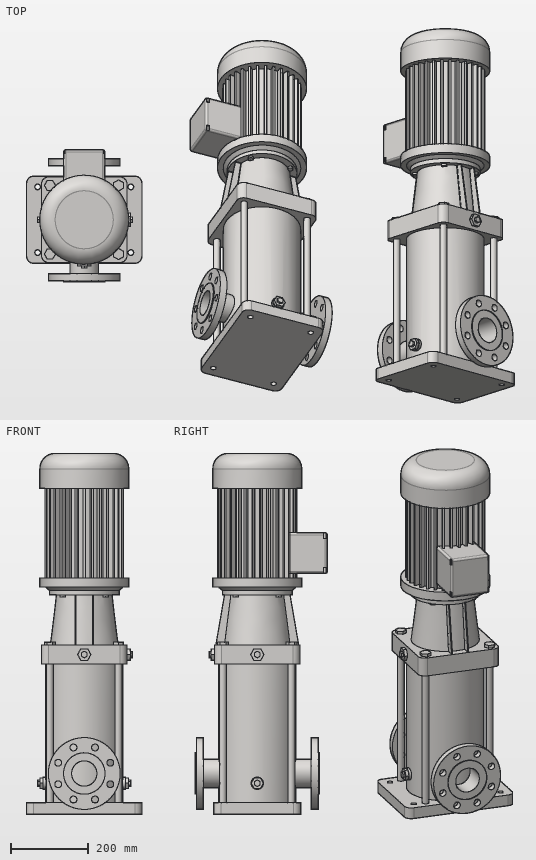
import cadquery as cq

total_height = 930.0

base_x = 298.0
base_y = 225.0
base_height = 30.0
plate_corner_radius = 19.0
foot_hole_x = 120.0
foot_hole_y = 85.0
foot_hole_diameter = 14.0
head_size = 220.0
head_bottom = 387.0
head_top = 436.0

barrel_diameter = 200.0
rod_diameter = 18.0
rod_offset = 88.0
rod_head_corners = 29.0
rod_head_height = 7.0

port_height = 105.0
port_reach = 160.0
port_bore = 65.0
port_pipe_diameter = 74.0
port_flange_diameter = 185.0
port_flange_thickness = 19.0
raised_face_diameter = 107.0
raised_face_height = 3.0
port_bolt_circle = 145.0
port_bolt_hole = 18.0
port_bolt_count = 8

half_hex_turn = 30
head_plug_corners = 34.0
drain_plug_corners = 32.0
plug_hex_height = 8.0
plug_tip_corners = 17.0
plug_tip_height = 6.0
drain_plug_height = 80.0
drain_pad_diameter = 32.0
drain_pad_reach = 106.0

stool_top = 565.0
stool_bottom_diameter = 176.0
stool_top_diameter = 144.0
stool_rib_thickness = 3.0
stool_rib_spacing = 45.0
stool_rib_bottom_reach = 107.0
stool_rib_top_reach = 85.0
stool_bolt_count = 4
stool_bolt_radius = 78.0
stool_bolt_diameter = 14.0
stool_bolt_height = 6.0

motor_diameter = 230.0
spigot_diameter = 180.0
spigot_top = 577.0
motor_flange_neck_diameter = 200.0
motor_flange_bottom = 585.0
motor_flange_top = 609.0
fin_count = 30
fin_outer_diameter = 204.0
fin_depth = 15.0
fin_thickness = 6.0
fan_cover_bottom = 840.0
fan_cover_round = 40.0

box_width = 106.0
box_bottom = 620.0
box_top = 725.0
box_back = 180.0
box_front = 74.0
box_edge_radius = 6.0
lid_notch_width = 7.0
lid_notch_height = 15.0
lid_notch_depth = 3.0
lid_thickness = 3.0


def cylinder(diameter, bottom, top):
    return cq.Workplane("XY").workplane(offset=bottom).circle(diameter / 2).extrude(top - bottom)


def rounded_plate(size_x, size_y, bottom, top):
    plate = cq.Workplane("XY").workplane(offset=bottom).rect(size_x, size_y).extrude(top - bottom)
    return plate.edges("|Z").fillet(plate_corner_radius)


def make_base():
    holes = (
        cq.Workplane("XY")
        .rect(2 * foot_hole_x, 2 * foot_hole_y, forConstruction=True)
        .vertices()
        .circle(foot_hole_diameter / 2)
        .extrude(base_height)
    )
    return rounded_plate(base_x, base_y, 0, base_height).cut(holes)


def make_tie_rods():
    """Four tie rods with hexagon heads; the +X heads are turned to put corners along Y."""
    rods = cq.Workplane("XY")
    for side_x, head_turn in ((-1, 0), (1, half_hex_turn)):
        for side_y in (-1, 1):
            place = (side_x * rod_offset, side_y * rod_offset, 0)
            rod = cylinder(rod_diameter, base_height, head_bottom)
            rod_head = (
                cq.Workplane("XY")
                .workplane(offset=head_top)
                .polygon(6, rod_head_corners)
                .extrude(rod_head_height)
                .rotate((0, 0, 0), (0, 0, 1), head_turn)
            )
            rods = rods.add(rod.translate(place)).add(rod_head.translate(place))
    return rods.combine()


def make_port():
    """Flanged port pointing along -Y, bored down to the barrel wall."""
    def disc(diameter, start, end):
        plane = cq.Workplane("XZ", origin=(0, -start, port_height))
        return plane.circle(diameter / 2).extrude(end - start)

    flange_face = port_reach - raised_face_height
    flange_back = flange_face - port_flange_thickness
    port = (
        disc(port_pipe_diameter, 0, flange_back)
        .union(disc(port_flange_diameter, flange_back, flange_face))
        .union(disc(raised_face_diameter, flange_face, port_reach))
        .cut(disc(port_bore, 0, port_reach))
    )
    half_pitch = 180 / port_bolt_count
    bolt_holes = (
        cq.Workplane("XZ", origin=(0, -flange_back, port_height))
        .polarArray(port_bolt_circle / 2, half_pitch, 360, port_bolt_count)
        .circle(port_bolt_hole / 2)
        .extrude(port_flange_thickness)
    )
    return port.cut(bolt_holes)


def make_plug(seat, height, corners, turn):
    """Hexagon plug seated at x = seat, then turned about the Z axis."""
    body = cq.Workplane("YZ", origin=(seat, 0, height)).polygon(6, corners).extrude(plug_hex_height)
    tip = (
        cq.Workplane("YZ", origin=(seat + plug_hex_height, 0, height))
        .transformed(rotate=(0, 0, half_hex_turn))
        .polygon(6, plug_tip_corners)
        .extrude(plug_tip_height)
    )
    return body.union(tip).rotate((0, 0, 0), (0, 0, 1), turn)


def make_drain_pads():
    """Round pads on both X sides of the barrel for the drain plugs."""
    pad = cq.Workplane("YZ", origin=(0, 0, drain_plug_height)).circle(drain_pad_diameter / 2)
    return pad.extrude(drain_pad_reach, both=True)


def make_stool():
    cone = (
        cq.Workplane("XY")
        .workplane(offset=head_top)
        .circle(stool_bottom_diameter / 2)
        .workplane(offset=stool_top - head_top)
        .circle(stool_top_diameter / 2)
        .loft(ruled=True)
    )
    rib_outline = [
        (-stool_rib_bottom_reach, head_top),
        (stool_rib_bottom_reach, head_top),
        (stool_rib_top_reach, stool_top),
        (-stool_rib_top_reach, stool_top),
    ]
    for side in (-1, 1):
        rib_start = side * stool_rib_spacing / 2 - stool_rib_thickness / 2
        rib = cq.Workplane("YZ", origin=(rib_start, 0, 0)).polyline(rib_outline).close()
        cone = cone.union(rib.extrude(stool_rib_thickness))
    bolts = (
        cq.Workplane("XY")
        .workplane(offset=stool_top - stool_bolt_height)
        .polarArray(stool_bolt_radius, 180 / stool_bolt_count, 360, stool_bolt_count)
        .circle(stool_bolt_diameter / 2)
        .extrude(stool_bolt_height)
    )
    return cone.union(bolts)


def make_motor():
    core_diameter = fin_outer_diameter - 2 * fin_depth
    lower_flange = (
        cq.Workplane("XZ")
        .moveTo(0, stool_top)
        .lineTo(spigot_diameter / 2, stool_top)
        .lineTo(spigot_diameter / 2, spigot_top)
        .lineTo(motor_flange_neck_diameter / 2, motor_flange_bottom)
        .lineTo(motor_diameter / 2, motor_flange_bottom)
        .lineTo(motor_diameter / 2, motor_flange_top)
        .lineTo(0, motor_flange_top)
        .close()
        .revolve(360, (0, 0, 0), (0, 1, 0))
    )
    fan_cover = cylinder(motor_diameter, fan_cover_bottom, total_height).faces(">Z").edges().fillet(fan_cover_round)

    fins = cylinder(core_diameter, motor_flange_top, fan_cover_bottom)
    for index in range(fin_count // 2):
        bar = (
            cq.Workplane("XY")
            .workplane(offset=motor_flange_top)
            .rect(fin_thickness, fin_outer_diameter)
            .extrude(fan_cover_bottom - motor_flange_top)
            .rotate((0, 0, 0), (0, 0, 1), index * 360 / fin_count)
        )
        fins = fins.union(bar)
    return lower_flange.union(fins).union(fan_cover)


def make_terminal_box():
    box_height = box_top - box_bottom
    box_middle = (box_top + box_bottom) / 2
    box = (
        cq.Workplane("XZ", origin=(0, box_back, box_middle))
        .rect(box_width, box_height)
        .extrude(box_back - box_front)
        .edges("|Y or >Y")
        .fillet(box_edge_radius)
    )
    notch_middle_y = box_back - lid_thickness - lid_notch_width / 2
    for sx in (-1, 1):
        for sz in (-1, 1):
            notch = cq.Workplane("XY").box(2 * lid_notch_depth, lid_notch_width, 2 * lid_notch_height)
            box = box.cut(
                notch.translate((sx * box_width / 2, notch_middle_y, box_middle + sz * box_height / 2))
            )
    return box


barrel = cylinder(barrel_diameter, base_height, head_bottom)
head = rounded_plate(head_size, head_size, head_bottom, head_top)
head_plug_height = (head_bottom + head_top) / 2
front_port = make_port()
back_port = front_port.mirror("XZ")

result = front_port.union(back_port)
features = [
    make_base(),
    barrel,
    make_drain_pads(),
    head,
    make_tie_rods(),
    make_plug(drain_pad_reach, drain_plug_height, drain_plug_corners, 0),
    make_plug(drain_pad_reach, drain_plug_height, drain_plug_corners, 180),
    make_plug(head_size / 2, head_plug_height, head_plug_corners, 0),
    make_plug(head_size / 2, head_plug_height, head_plug_corners, -90),
    make_stool(),
    make_motor(),
    make_terminal_box(),
]
for feature in features:
    result = result.union(feature)